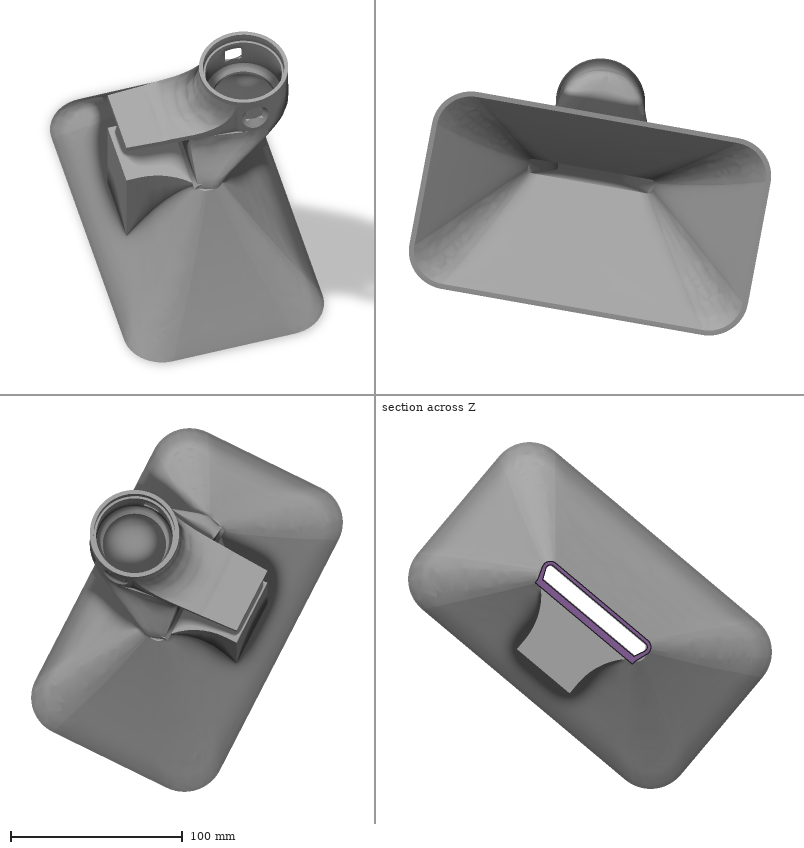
import cadquery as cq
import math

PLAN_ANGLE = -40.0

TOTAL_HEIGHT = 131.46
PLATE_BOTTOM = 103.5
PLATE_THICKNESS = 3.2
PLATE_TOP = PLATE_BOTTOM + PLATE_THICKNESS
BLOCK_TOP = 75.4
BLOCK_BOTTOM = 21.8

MOUTH_LENGTH = 200.0
MOUTH_WIDTH = 120.0
MOUTH_RADIUS = 23.0
MOUTH_TILT = 0.3
MOUTH_MEAN_HEIGHT = MOUTH_LENGTH / 2 * math.sin(math.radians(MOUTH_TILT))
HOOD_INSET = 3.0
HOOD_SAG = 2.0
HOOD_SHARES = (0, 0.65, 1)

NECK_HALF_LENGTH = 40.0
NECK_FRONT_HALF = 37.0
NECK_FRONT = -4.0
NECK_BACK = 10.6
NECK_RADIUS = 5.0
NECK_WALL = 2.4
NECK_TOP_FRONT_HALF = 21.0
NECK_CEILING = 101.0
NECK_LEVELS = 7
NECK_FRONT_BIAS = 1.35
NECK_BACK_BIAS = 1.1
BACK_FLAT_HALF = 0.3
NECK_CHAMFER_TOP = 3.2
NECK_CHAMFER_BOTTOM = 2.7
NECK_CHAMFER_REACH = 2.0

SOCKET_Y = 34.2
SOCKET_RADIUS = 26.0
RIM_BORE_RADIUS = 23.7
RIM_BORE_DEPTH = 5.7
SOCKET_BORE_RADIUS = 22.3
FUNNEL_TOP = 106.3
FUNNEL_MIDDLE = 104.5
FUNNEL_MIDDLE_RADIUS = 20.4
FUNNEL_BOTTOM = 103.0
THROAT_RADIUS = 18.4
THROAT_BOTTOM = NECK_CEILING - 0.5

WINDOW_SIZE = 10.0
WINDOW_HEIGHT = 115.8
DISH_OUTER_RADIUS = 9.5
DISH_INNER_RADIUS = 5.5

BRACKET_FRONT = -42.3
BRACKET_HALF_WIDTH = 20.0
SCOOP_SIDE_HALF = 23.5
SCOOP_SIDE_Y = SOCKET_Y - math.sqrt(SOCKET_RADIUS ** 2 - SCOOP_SIDE_HALF ** 2)
SIDE_OVERLAP = 2.0
PLATE_BACK = SCOOP_SIDE_Y + SIDE_OVERLAP
SCOOP_START = -20.0
SCOOP_STEEPNESS = 1.6
SCOOP_LEVELS = 7
SCOOP_END_CROWN = 0.2
FLARE_START = -34.8
FLARE_END = -2.0


def mouth_plane():
    tilt = math.radians(MOUTH_TILT)
    normal = (-math.sin(tilt), 0, math.cos(tilt))
    return cq.Plane((0, 0, MOUTH_MEAN_HEIGHT), (math.cos(tilt), 0, math.sin(tilt)), normal)


def rounded_rectangle(plane, length, width, radius):
    x = length / 2
    y = width / 2
    cut = radius * (1 - math.sqrt(0.5))
    return (
        cq.Workplane(plane)
        .moveTo(radius - x, -y)
        .lineTo(x - radius, -y)
        .threePointArc((x - cut, cut - y), (x, radius - y))
        .lineTo(x, y - radius)
        .threePointArc((x - cut, y - cut), (x - radius, y))
        .lineTo(radius - x, y)
        .threePointArc((cut - x, y - cut), (-x, y - radius))
        .lineTo(-x, radius - y)
        .threePointArc((cut - x, cut - y), (radius - x, -y))
        .close()
        .val()
    )


def blend(start, end, share):
    return start + (end - start) * share


def ease(rise, bias):
    """S-shaped passage from 0 to 1; a larger bias makes it happen lower down."""
    drop = (1 - rise) ** bias
    return 1 - drop * drop * (3 - 2 * drop)


def hood(inset):
    """Slightly concave funnel from the mouth to the foot of the neck, shrunk by the inset."""
    neck_length = 2 * NECK_HALF_LENGTH
    neck_width = NECK_BACK - NECK_FRONT
    neck_y = (NECK_FRONT + NECK_BACK) / 2
    sections = []
    for share in HOOD_SHARES:
        sag = HOOD_SAG * 4 * share * (1 - share) + inset
        height = blend(MOUTH_MEAN_HEIGHT, BLOCK_TOP, share)
        plane = mouth_plane() if share == 0 else cq.Plane((0, neck_y * share, height))
        sections.append(rounded_rectangle(
            plane,
            blend(MOUTH_LENGTH, neck_length, share) - 2 * sag,
            blend(MOUTH_WIDTH, neck_width, share) - 2 * sag,
            blend(MOUTH_RADIUS, NECK_RADIUS, share) - inset,
        ))
    return cq.Workplane(cq.Solid.makeLoft(sections))


def neck_section(height, front_share, back_share, wall):
    """Flat front edge joined by tangent sides to two back corner arcs; shares run from foot to socket."""
    front_x = blend(NECK_FRONT_HALF, NECK_TOP_FRONT_HALF, front_share) - wall
    front_y = NECK_FRONT + wall
    radius = blend(NECK_RADIUS, SOCKET_RADIUS - BACK_FLAT_HALF, back_share) - wall
    centre_x = blend(NECK_HALF_LENGTH - NECK_RADIUS, BACK_FLAT_HALF, back_share)
    centre_y = blend(NECK_BACK - NECK_RADIUS, SOCKET_Y, back_share)
    reach = math.hypot(front_x - centre_x, front_y - centre_y)
    side_angle = math.atan2(front_y - centre_y, front_x - centre_x) + math.acos(radius / reach)
    middle_angle = (side_angle + math.pi / 2) / 2

    def arc_point(angle, side):
        return side * (centre_x + radius * math.cos(angle)), centre_y + radius * math.sin(angle)

    return (
        cq.Workplane(cq.Plane((0, 0, height)))
        .moveTo(-front_x, front_y)
        .lineTo(front_x, front_y)
        .lineTo(*arc_point(side_angle, 1))
        .threePointArc(arc_point(middle_angle, 1), arc_point(math.pi / 2, 1))
        .lineTo(*arc_point(math.pi / 2, -1))
        .threePointArc(arc_point(middle_angle, -1), arc_point(side_angle, -1))
        .close()
        .val()
    )


def neck(wall):
    """S-curved duct from the neck foot up to the socket, shrunk by the wall."""
    sections = []
    for level in range(NECK_LEVELS):
        rise = level / (NECK_LEVELS - 1)
        front_share = ease(rise, NECK_FRONT_BIAS)
        back_share = ease(rise, NECK_BACK_BIAS)
        sections.append(neck_section(blend(BLOCK_TOP, PLATE_BOTTOM, rise), front_share, back_share, wall))
    return cq.Workplane(cq.Solid.makeLoft(sections))


def neck_cavity():
    """Inside of the neck, stopped short of the socket floor."""
    top_slab = cq.Workplane(cq.Plane((0, 0, NECK_CEILING))).rect(MOUTH_LENGTH, MOUTH_LENGTH)
    return neck(NECK_WALL).cut(top_slab.extrude(PLATE_TOP - NECK_CEILING))


def front_chamfer(corner_height, rise, half_width):
    """Triangular strip in the corner between the neck front and a bracket face."""
    return (
        cq.Workplane("YZ", origin=(-half_width, 0, 0))
        .moveTo(NECK_FRONT - NECK_CHAMFER_REACH, corner_height)
        .lineTo(NECK_FRONT + NECK_WALL, corner_height)
        .lineTo(NECK_FRONT + NECK_WALL, corner_height + rise)
        .lineTo(NECK_FRONT, corner_height + rise)
        .close()
        .extrude(2 * half_width)
    )


def block():
    """Bracket block under the neck, flaring from the bracket width to the neck width."""
    spread = NECK_FRONT_HALF - BRACKET_HALF_WIDTH
    run = FLARE_END - FLARE_START
    flare_radius = (spread ** 2 + run ** 2) / (2 * spread)
    half_turn = math.asin(run / flare_radius) / 2
    flare_middle_x = BRACKET_HALF_WIDTH + flare_radius * (1 - math.cos(half_turn))
    flare_middle_y = FLARE_START + flare_radius * math.sin(half_turn)
    return (
        cq.Workplane(cq.Plane((0, 0, BLOCK_BOTTOM)))
        .moveTo(-BRACKET_HALF_WIDTH, BRACKET_FRONT)
        .lineTo(BRACKET_HALF_WIDTH, BRACKET_FRONT)
        .lineTo(BRACKET_HALF_WIDTH, FLARE_START)
        .threePointArc((flare_middle_x, flare_middle_y), (NECK_FRONT_HALF, FLARE_END))
        .lineTo(-NECK_FRONT_HALF, FLARE_END)
        .threePointArc((-flare_middle_x, flare_middle_y), (-BRACKET_HALF_WIDTH, FLARE_START))
        .close()
        .extrude(BLOCK_TOP - BLOCK_BOTTOM)
    )


def plate_half_width(y):
    share = (y - BRACKET_FRONT) / (SCOOP_SIDE_Y - BRACKET_FRONT)
    return blend(BRACKET_HALF_WIDTH, SCOOP_SIDE_HALF, share)


def plate():
    """Bracket plate, widening towards the socket."""
    return (
        cq.Workplane(cq.Plane((0, 0, PLATE_BOTTOM)))
        .polyline([
            (-BRACKET_HALF_WIDTH, BRACKET_FRONT),
            (BRACKET_HALF_WIDTH, BRACKET_FRONT),
            (plate_half_width(PLATE_BACK), PLATE_BACK),
            (-plate_half_width(PLATE_BACK), PLATE_BACK),
        ])
        .close()
        .extrude(PLATE_THICKNESS)
    )


def scoop_section(height, forward):
    """Front arc of the socket slid forward and flattened; forward 1 is the straight plate end."""
    side_y = blend(SCOOP_SIDE_Y, SCOOP_START, forward)
    crown_y = blend(SOCKET_Y - SOCKET_RADIUS, SCOOP_START - SCOOP_END_CROWN, forward)
    side_x = plate_half_width(side_y)
    return (
        cq.Workplane(cq.Plane((0, 0, height)))
        .moveTo(-side_x, side_y)
        .threePointArc((0, crown_y), (side_x, side_y))
        .lineTo(plate_half_width(PLATE_BACK), PLATE_BACK)
        .lineTo(-plate_half_width(PLATE_BACK), PLATE_BACK)
        .close()
        .val()
    )


def scoop():
    """Hollow-curved ramp from the plate up to the front of the socket."""
    sections = []
    for level in range(SCOOP_LEVELS):
        rise = (level / (SCOOP_LEVELS - 1)) ** 2
        angle = math.acos(1 - rise ** (1 / SCOOP_STEEPNESS))
        height = blend(PLATE_TOP, TOTAL_HEIGHT, rise)
        sections.append(scoop_section(height, 1 - math.sin(angle)))
    return cq.Workplane(cq.Solid.makeLoft(sections))


def disc(radius, bottom, top):
    return cq.Workplane(cq.Plane((0, SOCKET_Y, bottom))).circle(radius).extrude(top - bottom)


def socket_bore():
    """Stepped bore whose floor funnels in two slopes to a throat into the neck."""
    rim_step = TOTAL_HEIGHT - RIM_BORE_DEPTH
    profile = (
        cq.Workplane("XZ")
        .moveTo(0, TOTAL_HEIGHT)
        .lineTo(RIM_BORE_RADIUS, TOTAL_HEIGHT)
        .lineTo(RIM_BORE_RADIUS, rim_step)
        .lineTo(SOCKET_BORE_RADIUS, rim_step)
        .lineTo(SOCKET_BORE_RADIUS, FUNNEL_TOP)
        .lineTo(FUNNEL_MIDDLE_RADIUS, FUNNEL_MIDDLE)
        .lineTo(THROAT_RADIUS, FUNNEL_BOTTOM)
        .lineTo(THROAT_RADIUS, THROAT_BOTTOM)
        .lineTo(0, THROAT_BOTTOM)
        .close()
    )
    return profile.revolve(360, (0, 0, 0), (0, 1, 0)).translate((0, SOCKET_Y, 0))


def windows():
    """Square window through both sides of the socket, each with a conical dish outside."""
    cutter = cq.Workplane("XY").box(2 * SOCKET_RADIUS, WINDOW_SIZE, WINDOW_SIZE)
    for side in (-1, 1):
        dish = cq.Solid.makeCone(
            DISH_OUTER_RADIUS,
            DISH_INNER_RADIUS,
            SOCKET_RADIUS - SOCKET_BORE_RADIUS,
            pnt=cq.Vector(side * SOCKET_RADIUS, 0, 0),
            dir=cq.Vector(-side, 0, 0),
        )
        cutter = cutter.union(cq.Workplane(dish))
    return cutter.translate((0, SOCKET_Y, WINDOW_HEIGHT))


body = hood(0).union(neck(0)).union(block())
body = body.union(front_chamfer(BLOCK_TOP, NECK_CHAMFER_BOTTOM, NECK_FRONT_HALF))
body = body.union(front_chamfer(PLATE_BOTTOM, -NECK_CHAMFER_TOP, NECK_TOP_FRONT_HALF))
body = body.union(plate()).union(scoop()).union(disc(SOCKET_RADIUS, PLATE_BOTTOM, TOTAL_HEIGHT))
body = body.cut(hood(HOOD_INSET)).cut(neck_cavity()).cut(socket_bore()).cut(windows())

result = body.rotate((0, 0, 0), (0, 0, 1), PLAN_ANGLE)